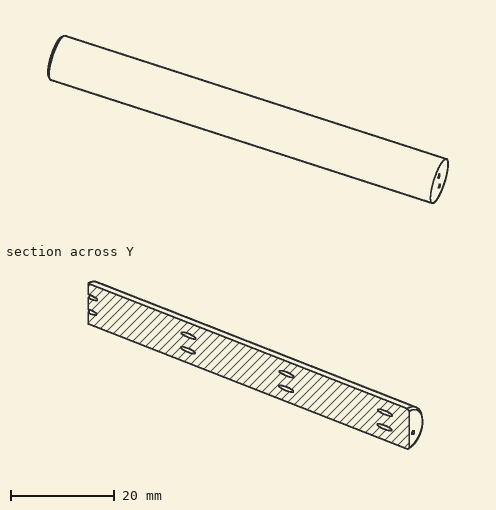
import cadquery as cq
import math

rod_length = 80.0
rod_diameter = 9.0
end_chamfer = 0.45

hole_diameter = 0.75
hole_circle_diameter = 3.3
start_angle = 45.0
helix_angle = 30.0

full_turn = 360.0
helix_pitch = math.pi * rod_diameter / math.tan(math.radians(helix_angle))
twist_angle = full_turn * rod_length / helix_pitch


def make_rod():
    """Solid cylinder from x = 0, chamfered on its -X end only."""
    rod = cq.Workplane("YZ").circle(rod_diameter / 2).extrude(rod_length)
    return rod.faces("<X").edges().chamfer(end_chamfer)


def make_helical_holes():
    """Cutters for the two holes, which wind through the full length."""
    profile = (
        cq.Workplane("YZ")
        .polarArray(hole_circle_diameter / 2, start_angle, full_turn, 2)
        .circle(hole_diameter / 2)
    )
    return profile.twistExtrude(rod_length, twist_angle)


result = make_rod().cut(make_helical_holes())